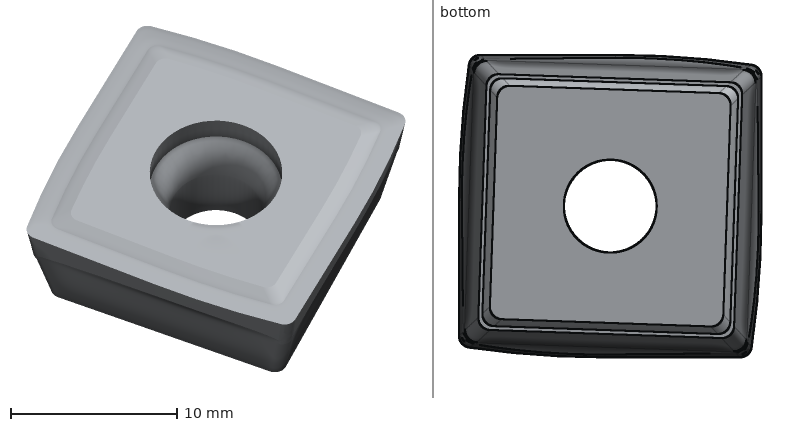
import cadquery as cq
import math

total_height = 7.2
rim_z = 6.99
belt_z = 4.73
corner_z = 4.53
foot_z = 0.44

half_width = 9.1
bend_start = 0.33
crown_radius = 56.42
corner_radius = 0.73

rim_clearance = 7.6
body_clearance = 10.6
body_twist = 2.0
belt_half_width = 8.5
cove_radius = 1.93
cove_sweep = 75.0

foot_ledge = 0.24
foot_chamfer = foot_z

plateau_outer_inset = 1.24
plateau_inner_inset = 2.18
plateau_corner_radius = 0.64

bore_radius = 2.78
seat_radius = 3.99
seat_z = 5.66
seat_curve_radius = 2.58

SIDE_ANGLES = (0, 90, 180, 270)


def turned(point, angle):
    """Rotate a 2D point about the origin by an angle in degrees."""
    x, y = point
    c, s = math.cos(math.radians(angle)), math.sin(math.radians(angle))
    return (x * c - y * s, x * s + y * c)


def crowned_wire(inset, z, rounding):
    """Crowned outline moved inward by the inset, with rounded corners."""
    half = half_width - inset
    radius = crown_radius - inset
    center_y = crown_radius - half_width

    def arc_point(x):
        return (x, center_y - math.sqrt(radius**2 - (x - bend_start) ** 2))

    corner = arc_point(half)
    middle = arc_point((bend_start + half) / 2)
    outline = cq.Workplane("XY", origin=(0, 0, z)).moveTo(*turned(corner, -90))
    for angle in SIDE_ANGLES:
        outline = outline.lineTo(*turned((bend_start, -half), angle))
        outline = outline.threePointArc(turned(middle, angle), turned(corner, angle))
    wire = outline.close().val()
    corners = [v for v in wire.Vertices() if min(abs(v.X), abs(v.Y)) > half / 2]
    return wire.fillet2D(rounding, corners)


def square_wire(half, z):
    """Square with rounded corners, turned to the twist of the lower body."""
    wire = cq.Workplane("XY", origin=(0, 0, z)).rect(2 * half, 2 * half).val()
    rounded = wire.fillet2D(corner_radius, wire.Vertices())
    return rounded.rotate(cq.Vector(0, 0, 0), cq.Vector(0, 0, 1), body_twist)


def loft(bottom_wire, top_wire):
    """Block with straight sloping sides between two outlines."""
    return cq.Workplane(cq.Solid.makeLoft([bottom_wire, top_wire], True))


def flank_offset(z):
    """Distance from the axis to a flat lower flank at a given height."""
    return belt_half_width - (belt_z - z) * math.tan(math.radians(body_clearance))


def cove_cutter(angle):
    """Prism that blends a flat lower flank outward into the crowned upper flank."""
    lean = math.radians(body_clearance)
    center_x = belt_half_width + cove_radius * math.cos(lean)
    center_z = belt_z - cove_radius * math.sin(lean)

    def cove_point(sweep):
        turn = lean + math.radians(sweep)
        return (center_x - cove_radius * math.cos(turn), center_z + cove_radius * math.sin(turn))

    end = cove_point(cove_sweep)
    return (
        cq.Workplane("XZ")
        .moveTo(flank_offset(corner_z), corner_z)
        .lineTo(*cove_point(0))
        .threePointArc(cove_point(cove_sweep / 2), end)
        .lineTo(end[0], corner_z)
        .close()
        .extrude(half_width, both=True)
        .rotate((0, 0, 0), (0, 0, 1), body_twist + angle)
    )


def screw_hole():
    """Through bore with a trumpet-shaped seat and a counterbore above it."""
    curve_x = bore_radius + seat_curve_radius
    sweep = math.acos((curve_x - seat_radius) / seat_curve_radius)
    curve_z = seat_z - seat_curve_radius * math.sin(sweep)
    middle = (
        curve_x - seat_curve_radius * math.cos(sweep / 2),
        curve_z + seat_curve_radius * math.sin(sweep / 2),
    )
    return (
        cq.Workplane("XZ")
        .lineTo(bore_radius, 0)
        .lineTo(bore_radius, curve_z)
        .threePointArc(middle, (seat_radius, seat_z))
        .lineTo(seat_radius, total_height)
        .lineTo(0, total_height)
        .close()
        .revolve(360, (0, 0, 0), (0, 1, 0))
    )


corner_inset = (rim_z - corner_z) * math.tan(math.radians(rim_clearance))
upper = loft(
    crowned_wire(corner_inset, corner_z, corner_radius),
    crowned_wire(0, rim_z, corner_radius),
)
for side_angle in SIDE_ANGLES:
    upper = upper.cut(cove_cutter(side_angle))

body = loft(
    square_wire(flank_offset(foot_z), foot_z),
    square_wire(flank_offset(corner_z), corner_z),
)
foot_half = flank_offset(foot_z) - foot_ledge
foot = loft(square_wire(foot_half - foot_chamfer, 0), square_wire(foot_half, foot_z))

plateau = loft(
    crowned_wire(plateau_outer_inset, rim_z, plateau_corner_radius),
    crowned_wire(plateau_inner_inset, total_height, plateau_corner_radius),
)

result = upper.union(body).union(foot).union(plateau).cut(screw_hole())